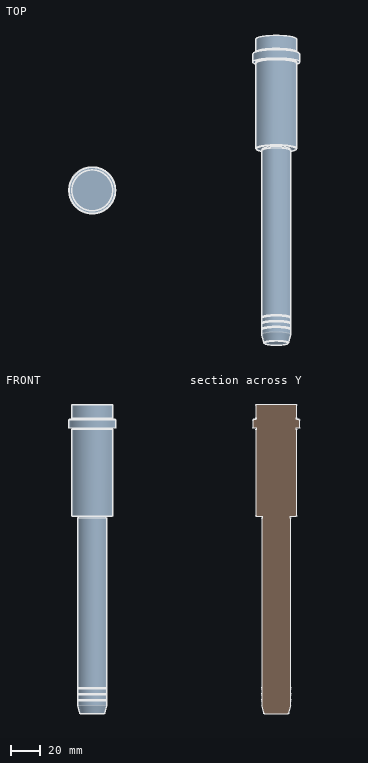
import cadquery as cq
import math

total_length = 210.0

sleeve_radius = 14.0
sleeve_length = 76.0
sleeve_bottom_chamfer = 0.5
sleeve_top_chamfer = 0.25
collar_radius = 16.0
collar_top_offset = 10.0
collar_height = 6.0
collar_chamfer = 0.5

pin_radius = 10.0
nose_length = 6.0
nose_half_angle = 15.0
nose_chamfer = 0.5
neck_width = 1.0
neck_depth = 0.5

groove_width = 1.0
collar_undercut_depth = 0.5
pin_groove_depth = 0.25
pin_groove_count = 3
pin_groove_pitch = 4.0
lowest_pin_groove_bottom = 9.0

sleeve_bottom = total_length - sleeve_length
collar_top = total_length - collar_top_offset
collar_bottom = collar_top - collar_height
nose_radius = pin_radius - nose_length * math.tan(math.radians(nose_half_angle))


def disc(radius, bottom, height):
    """Upright cylinder on the Z axis."""
    return cq.Workplane("XY").workplane(offset=bottom).circle(radius).extrude(height)


def make_pin():
    """Pin with a chamfered conical nose and a slightly thinner neck under the sleeve."""
    neck_bottom = sleeve_bottom - neck_width
    nose = cq.Workplane("XY").circle(nose_radius).extrude(nose_length, taper=-nose_half_angle)
    nose = nose.faces("<Z").edges().chamfer(nose_chamfer)
    shank = disc(pin_radius, nose_length, neck_bottom - nose_length)
    neck = disc(pin_radius - neck_depth, neck_bottom, neck_width)
    return nose.union(shank).union(neck)


def make_sleeve():
    """Cylindrical head, chamfered at both ends."""
    sleeve = disc(sleeve_radius, sleeve_bottom, sleeve_length)
    sleeve = sleeve.faces("<Z").edges().chamfer(sleeve_bottom_chamfer)
    return sleeve.faces(">Z").edges().chamfer(sleeve_top_chamfer)


def make_collar():
    """Locating collar, chamfered on its upper edge."""
    collar = disc(collar_radius, collar_bottom, collar_height)
    return collar.faces(">Z").edges().chamfer(collar_chamfer)


def make_groove(surface_radius, bottom, depth):
    """V-shaped ring that cuts one groove into a cylinder of the given radius."""
    outline = [
        (surface_radius, bottom),
        (surface_radius - depth, bottom + groove_width / 2),
        (surface_radius, bottom + groove_width),
    ]
    return cq.Workplane("XZ").polyline(outline).close().revolve(360, (0, 0), (0, 1))


def cut_grooves(body):
    """Cut the undercuts on both sides of the collar, then the pin grooves."""
    body = body.cut(make_groove(sleeve_radius, collar_top, collar_undercut_depth))
    body = body.cut(make_groove(sleeve_radius, collar_bottom - groove_width, collar_undercut_depth))
    for index in range(pin_groove_count):
        bottom = lowest_pin_groove_bottom + index * pin_groove_pitch
        body = body.cut(make_groove(pin_radius, bottom, pin_groove_depth))
    return body


body = make_pin().union(make_sleeve()).union(make_collar())
result = cut_grooves(body)